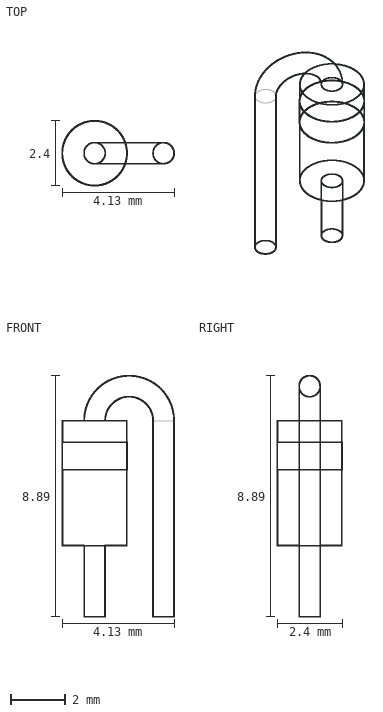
import cadquery as cq

total_height = 8.89
lead_diameter = 0.78
lead_pitch = 2.54

body_diameter = 2.37
body_height = 4.605
band_diameter = 2.4
band_height = 1.005
band_below_top = 0.8

bend_radius = lead_pitch / 2
body_top = total_height - bend_radius - lead_diameter / 2
body_bottom = body_top - body_height
band_bottom = body_top - band_below_top - band_height


def upright_cylinder(diameter, bottom, height):
    """Cylinder on the body axis, rising from the given level."""
    return cq.Workplane("XY").workplane(offset=bottom).circle(diameter / 2).extrude(height)


def bent_lead():
    """Round wire: up the body axis, over a half circle and down beside the body."""
    path = (
        cq.Workplane("XZ")
        .lineTo(0, body_top)
        .threePointArc((bend_radius, body_top + bend_radius), (lead_pitch, body_top))
        .lineTo(lead_pitch, 0)
    )
    return cq.Workplane("XY").circle(lead_diameter / 2).sweep(path)


body = upright_cylinder(body_diameter, body_bottom, body_height)
band = upright_cylinder(band_diameter, band_bottom, band_height)

result = body.union(band).union(bent_lead())